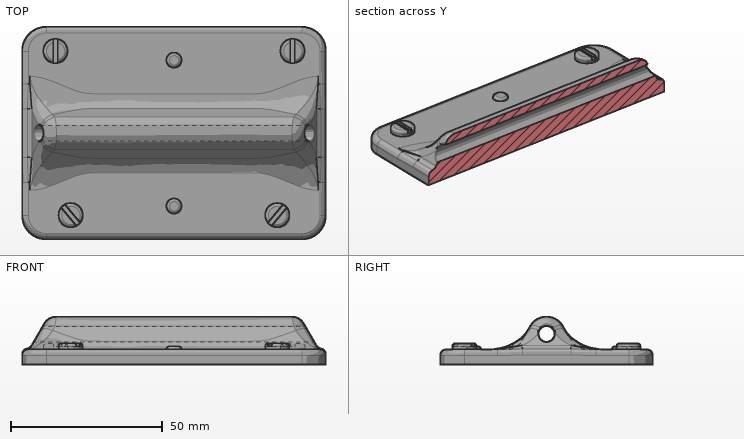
import cadquery as cq
import math

length = 100.0
width = 70.0
plate_height = 5.0
corner_radius = 8.0
plate_edge_radius = 2.0

tolerance = 0.1

total_height = 15.8
rod_radius = 6.2
rod_z = total_height - rod_radius
side_angle = math.radians(60)
end_angle = math.radians(60)
end_foot_x = 47.6
end_top_radius = 4.5
end_foot_rim_radius = 0.3
hump_root_z = 3.0
bore_diameter = 5.2
bore_rim_radius = 0.3
bore_z = 10.1

blend_lift = 0.3
blend_crest_angle = math.radians(10)
blend_flat_half_width = 8.0
blend_half_width = 16.2
blend_root_z = 2.0

foot_half_width_middle = 13.0
foot_half_width_end = 18.7
flare_start_x = 27.0
flare_end_x = 47.0
flare_steps = 5
straight_steps = 4
overrun_x = 51.0

screw_diameter = 8.0
screw_height = 2.0
screw_edge_radius = 1.0
slot_width = 1.6
slot_depth = 1.0
screw_y = 27.0
back_screw_x = 39.0
front_screw_x = 34.0
front_slot_tilt = 40.0

pin_diameter = 5.0
pin_height = 1.0
pin_edge_radius = 0.95
pin_y = 24.0


def make_plate():
    plate = cq.Workplane("XY").rect(length, width).extrude(plate_height)
    plate = plate.edges("|Z").fillet(corner_radius)
    return plate.faces(">Z").edges().fillet(plate_edge_radius)


def foot_half_width(x):
    """Half width of the hump's foot: constant in the middle, an S-curve out to each end."""
    t = (abs(x) - flare_start_x) / (flare_end_x - flare_start_x)
    t = min(max(t, 0.0), 1.0)
    blend = t * t * (3 - 2 * t)
    return foot_half_width_middle + blend * (foot_half_width_end - foot_half_width_middle)


def hump_section(x):
    """Bell-shaped cross-section: rod arc, straight flank, concave arc tangent to the plate."""
    foot_y = foot_half_width(x)
    flank_top_y = rod_radius * math.sin(side_angle)
    flank_top_z = rod_z + rod_radius * math.cos(side_angle)
    flank_foot_y = flank_top_y + (flank_top_z - plate_height) / math.tan(side_angle)
    tangent_length = foot_y - flank_foot_y
    foot_radius = tangent_length / math.tan(side_angle / 2)
    flank_end_y = flank_foot_y - tangent_length * math.cos(side_angle)
    flank_end_z = plate_height + tangent_length * math.sin(side_angle)
    arc_mid_y = foot_y - foot_radius * math.sin(side_angle / 2)
    arc_mid_z = plate_height + foot_radius * (1 - math.cos(side_angle / 2))
    return (
        cq.Workplane("YZ", origin=(x, 0, 0))
        .moveTo(-foot_y, hump_root_z)
        .lineTo(-foot_y, plate_height)
        .threePointArc((-arc_mid_y, arc_mid_z), (-flank_end_y, flank_end_z))
        .lineTo(-flank_top_y, flank_top_z)
        .threePointArc((0, total_height), (flank_top_y, flank_top_z))
        .lineTo(flank_end_y, flank_end_z)
        .threePointArc((arc_mid_y, arc_mid_z), (foot_y, plate_height))
        .lineTo(foot_y, hump_root_z)
        .close()
    )


def make_long_hump():
    """Hump running past both sloped ends, as one smooth skin through its cross-sections."""
    straight_step = flare_start_x / straight_steps
    flare_step = (flare_end_x - flare_start_x) / flare_steps
    half = [i * straight_step for i in range(1, straight_steps)]
    half += [flare_start_x + i * flare_step for i in range(flare_steps + 1)]
    half += [overrun_x]
    stations = [-x for x in reversed(half)] + [0.0] + half
    wires = [hump_section(x).wire().val() for x in stations]
    return cq.Workplane(cq.Solid.makeLoft(wires))


def end_x(z):
    """Distance of the sloped end from the middle of the part at height z."""
    return end_foot_x - (z - plate_height) / math.tan(end_angle)


def make_hump():
    trim_top_z = total_height + 1.0
    trim = (
        cq.Workplane("XZ")
        .polyline([
            (-end_x(hump_root_z), hump_root_z),
            (end_x(hump_root_z), hump_root_z),
            (end_x(trim_top_z), trim_top_z),
            (-end_x(trim_top_z), trim_top_z),
        ])
        .close()
        .extrude(width / 2, both=True)
    )
    return make_long_hump().intersect(trim)


def rim_radius(z):
    return end_foot_rim_radius if z < plate_height + tolerance else end_top_radius


def round_hump_ends(hump):
    """Round the rim of both sloped ends, the radius fading out along the concave feet."""
    fillet = cq.occ_impl.shapes.BRepFilletAPI_MakeFillet(hump.val().wrapped)
    for edge in hump.faces("%PLANE").edges().vals():
        start_z = edge.startPoint().z
        end_z = edge.endPoint().z
        if min(start_z, end_z) > plate_height - tolerance:
            fillet.Add(rim_radius(start_z), rim_radius(end_z), edge.wrapped)
    return cq.Workplane(cq.Shape.cast(fillet.Shape()))


def end_blend_section(y, lift, crest_angle):
    """XZ section at the -X edge: plate edge arc, then a concave arc up to the sloped end."""
    edge_center_x = -length / 2 + plate_edge_radius
    edge_center_z = plate_height - plate_edge_radius + lift

    def edge_point(angle):
        return (
            edge_center_x - plate_edge_radius * math.sin(angle),
            edge_center_z + plate_edge_radius * math.cos(angle),
        )

    crest_x, crest_z = edge_point(crest_angle)
    reach = (-end_x(crest_z) - crest_x) / (1 - math.tan(crest_angle) / math.tan(end_angle))
    tangent_length = reach / math.cos(crest_angle)
    slope_x = crest_x + reach + tangent_length * math.cos(end_angle)
    slope_z = crest_z + reach * math.tan(crest_angle) + tangent_length * math.sin(end_angle)
    return (
        cq.Workplane("XZ", origin=(0, y, 0))
        .moveTo(-length / 2, blend_root_z)
        .lineTo(-length / 2, edge_center_z)
        .threePointArc(edge_point((crest_angle + math.pi / 2) / 2), (crest_x, crest_z))
        .tangentArcPoint((slope_x, slope_z), relative=False)
        .lineTo(slope_x, blend_root_z)
        .close()
        .wire()
        .val()
    )


def make_end_blend():
    """Blend at the -X end: full size across the middle, fading into the plate edge on both sides."""
    full = end_blend_section(-blend_flat_half_width, blend_lift, blend_crest_angle)
    full_back = end_blend_section(blend_flat_half_width, blend_lift, blend_crest_angle)
    faded = end_blend_section(-blend_half_width, 0, 0)
    middle = cq.Workplane(cq.Solid.makeLoft([full, full_back], True))
    wing = cq.Workplane(cq.Solid.makeLoft([faded, full], True))
    return middle.union(wing).union(wing.mirror("XZ"))


def bore_hump(body):
    """Cut the bore through the whole hump and round both of its mouths."""
    bore = (
        cq.Workplane("YZ", origin=(-length / 2, 0, bore_z))
        .circle(bore_diameter / 2)
        .extrude(length)
    )
    reach = bore_diameter / 2 + tolerance
    around_bore = cq.selectors.BoxSelector(
        (-length / 2, -reach, bore_z - reach),
        (length / 2, reach, bore_z + reach),
        boundingbox=True,
    )
    mouths = around_bore - cq.selectors.TypeSelector("LINE")
    return body.cut(bore).edges(mouths).fillet(bore_rim_radius)


def make_screw(x, y, slot_tilt):
    """Slotted screw head; a zero tilt leaves the slot along Y."""
    head_top = plate_height + screw_height
    head = (
        cq.Workplane("XY")
        .circle(screw_diameter / 2)
        .extrude(head_top)
        .faces(">Z").edges().fillet(screw_edge_radius)
    )
    slot = (
        cq.Workplane("XY", origin=(0, 0, head_top - slot_depth))
        .rect(slot_width, 2 * screw_diameter)
        .extrude(2 * slot_depth)
    )
    return head.cut(slot).rotate((0, 0, 0), (0, 0, 1), slot_tilt).translate((x, y, 0))


def make_pin(y):
    return (
        cq.Workplane("XY", origin=(0, y, 0))
        .circle(pin_diameter / 2)
        .extrude(plate_height + pin_height)
        .faces(">Z").edges().fillet(pin_edge_radius)
    )


end_blend = make_end_blend()
result = make_plate().union(round_hump_ends(make_hump()))
result = result.union(end_blend).union(end_blend.mirror("YZ"))
result = bore_hump(result)

for side in (-1, 1):
    result = result.union(make_screw(side * back_screw_x, screw_y, 0))
    result = result.union(make_screw(side * front_screw_x, -screw_y, -side * front_slot_tilt))
    result = result.union(make_pin(side * pin_y))